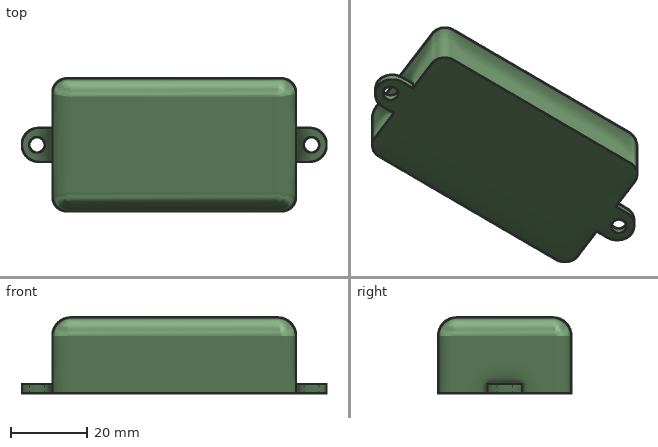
import cadquery as cq

body_length = 64.0
body_width = 35.0
body_height = 20.0
corner_radius = 4.0
top_edge_radius = 5.0

overall_length = 80.0
ear_width = 9.0
ear_thickness = 2.5
hole_diameter = 4.0
hole_spacing = 72.0


def make_body():
    """Box with rounded vertical corners and a larger round along the top edge."""
    return (
        cq.Workplane("XY")
        .box(body_length, body_width, body_height, centered=(True, True, False))
        .edges("|Z")
        .fillet(corner_radius)
        .faces(">Z")
        .edges()
        .fillet(top_edge_radius)
    )


def make_ear_strip():
    """Round-ended strip through the base of the body; its two ends stand out as ears."""
    return cq.Workplane("XY").slot2D(overall_length, ear_width).extrude(ear_thickness)


def make_ear_holes():
    """Cutters for the screw hole through each ear."""
    return (
        cq.Workplane("XY")
        .pushPoints([(-hole_spacing / 2, 0), (hole_spacing / 2, 0)])
        .circle(hole_diameter / 2)
        .extrude(ear_thickness)
    )


result = make_body().union(make_ear_strip()).cut(make_ear_holes())